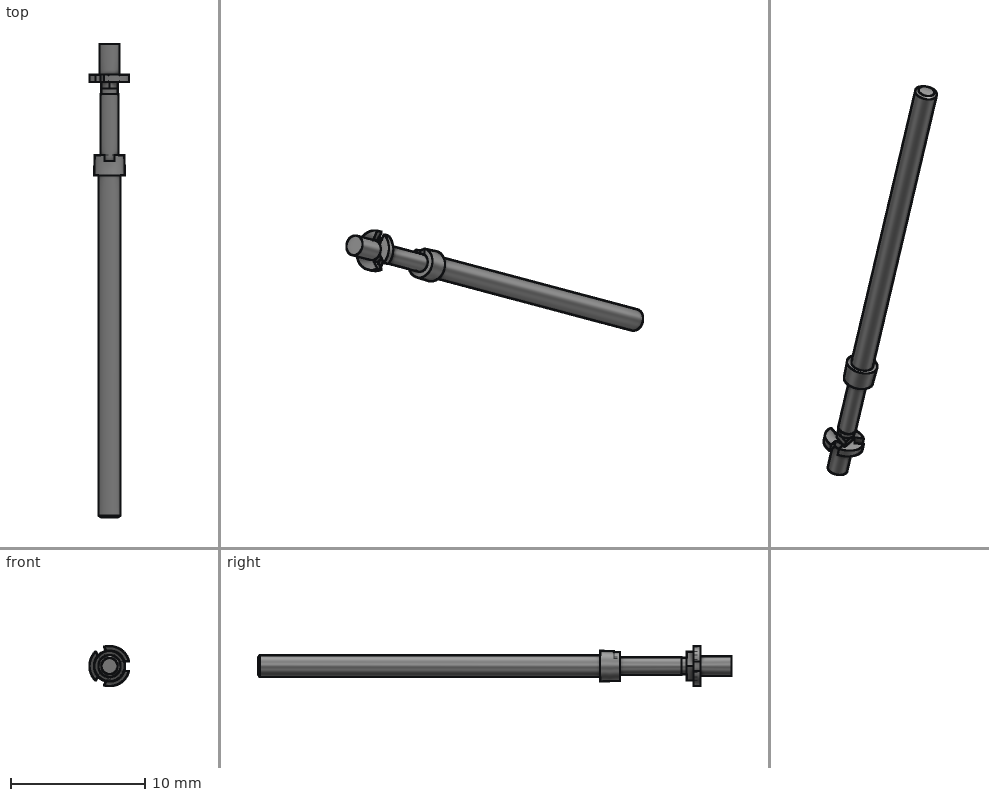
import cadquery as cq
import math

head_end_y = 9.8
tip_y = -25.5
collar_length = 1.5
head_length = 2.3
flange_thickness = 0.55
key_length = 0.5
neck_length = 0.4

barrel_dia = 1.65
shaft_dia = 1.35
neck_dia = 1.25
head_dia = 1.5
flange_dia = 3.0
collar_dia_barrel_side = 2.32
collar_dia_shaft_side = 2.22

tip_flat_dia = 1.2
tip_chamfer_length = 0.15

notch_count = 3
notch_width = 0.7
notch_floor_radius = head_dia / 2

key_half_height = 1.08
key_tip_half_angle = 30
key_half_width = key_half_height * math.tan(math.radians(key_tip_half_angle))

collar_slot_width = 0.72
collar_slot_length = 0.45

flange_top_y = head_end_y - head_length
flange_bottom_y = flange_top_y - flange_thickness
key_bottom_y = flange_bottom_y - key_length
neck_bottom_y = key_bottom_y - neck_length


def cone(y_start, y_end, dia_start, dia_end):
    """Solid of revolution about Y with a straight flank."""
    return (
        cq.Workplane("XY")
        .moveTo(0, y_start)
        .lineTo(dia_start / 2, y_start)
        .lineTo(dia_end / 2, y_end)
        .lineTo(0, y_end)
        .close()
        .revolve(360, (0, 0, 0), (0, 1, 0))
    )


def cylinder(y_start, y_end, dia):
    return cone(y_start, y_end, dia, dia)


def barrel():
    """Plain barrel with a chamfered tip."""
    chamfer_y = tip_y + tip_chamfer_length
    body = cylinder(chamfer_y, 0, barrel_dia)
    tip = cone(tip_y, chamfer_y, tip_flat_dia, barrel_dia)
    return body.union(tip)


def collar():
    """Slightly tapered collar with a slot on top, cut down to the shaft surface."""
    body = cone(0, collar_length, collar_dia_barrel_side, collar_dia_shaft_side)
    slot = cq.Workplane("XY").box(
        collar_slot_width, collar_slot_length, collar_dia_barrel_side, centered=(True, False, False)
    ).translate((0, collar_length - collar_slot_length, 0))
    core = cylinder(0, collar_length, shaft_dia)
    return body.cut(slot).union(core)


def flange():
    """Flange with equally spaced radial notches, the first one facing +X."""
    body = cylinder(flange_bottom_y, flange_top_y, flange_dia)
    notch = cq.Workplane("XY").box(
        flange_dia, flange_thickness, notch_width, centered=(False, False, True)
    ).translate((notch_floor_radius, flange_bottom_y, 0))
    for index in range(notch_count):
        angle = index * 360 / notch_count
        body = body.cut(notch.rotate((0, 0, 0), (0, 1, 0), angle))
    return body


def key():
    """Diamond prism between the flange and the neck."""
    corners = [
        (key_half_width, 0),
        (0, key_half_height),
        (-key_half_width, 0),
        (0, -key_half_height),
    ]
    return (
        cq.Workplane("XZ", origin=(0, flange_bottom_y, 0))
        .polyline(corners)
        .close()
        .extrude(key_length)
    )


shaft = cylinder(collar_length, neck_bottom_y, shaft_dia)
neck = cylinder(neck_bottom_y, key_bottom_y, neck_dia)
head = cylinder(flange_top_y, head_end_y, head_dia)

result = barrel()
for section in (collar(), shaft, neck, key(), flange(), head):
    result = result.union(section)